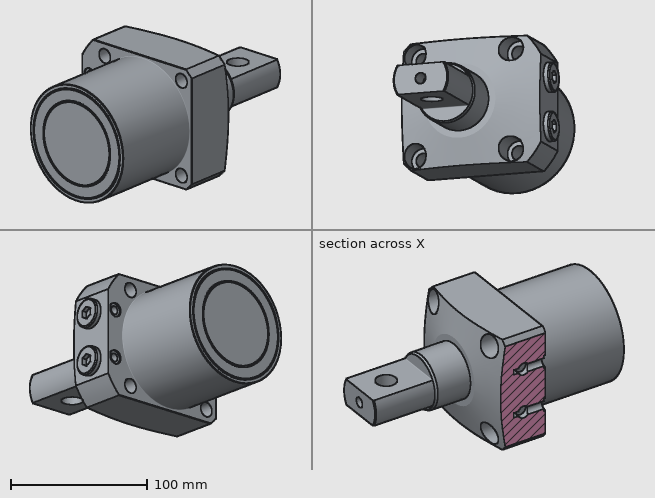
import cadquery as cq
import math

OVERALL_LENGTH = 203.0

FLANGE_BACK = 73.9
FLANGE_FRONT = 120.2
FLANGE_HALF = 47.5
PORT_FACE_X = -59.5
PORT_CORNER_RADIUS = 68.0
PLAIN_CORNER_CUT = 5.7
BACK_EDGE_CHAMFER = 0.5
CONE_FLAT_RADIUS = 27.8
CONE_ANGLE = 15.0
MOUNT_HOLE_DIAMETER = 11.2
MOUNT_HOLE_PITCH = 75.0
MOUNT_SEAT_DIAMETER = 18.0
MOUNT_LEDGE = 22.3

BARREL_DIAMETER = 90.7
BARREL_RADIUS = BARREL_DIAMETER / 2
BARREL_ROOT_FILLET = 0.5
BARREL_EDGE_CHAMFER = 0.5
CAP_RADIUS = 42.5
CAP_THICKNESS = 12.2
CAP_EDGE_CHAMFER = 1.0
CAP_GROOVE_RADIUS = 32.9
CAP_GROOVE_SIZE = 1.2

ROD_RADIUS = 22.5
ROD_SHOULDER_Y = 150.8
ROD_SHOULDER_BEVEL = 2.0
BLADE_RADIUS = 21.5
BLADE_THICKNESS = 22.0
BLADE_ROOT_FILLET = 0.6
BLADE_END_CHAMFER = 0.8
PIVOT_HOLE_DIAMETER = 16.2
PIVOT_HOLE_Y = 179.5
LOCK_HOLE_DIAMETER = 8.1

PLUG_Y = 93.0
PLUG_HEIGHTS = (-18.5, 18.5)
PLUG_HEAD_DIAMETER = 22.1
PLUG_HEAD_HEIGHT = 4.5
PLUG_HEAD_CHAMFER = 1.0
PLUG_SHANK_DIAMETER = 9.7
PLUG_SHANK_LENGTH = 2.5
PLUG_HEX_ACROSS_FLATS = 8.3
PLUG_HEX_DEPTH = 3.7
PLUG_BORE_DEPTH = 12.2
PASSAGE_X = -51.0
PASSAGE_DIAMETER = 4.5
PASSAGE_END_Y = 101.5

PORT_X = -52.4
PORT_DIAMETER = 6.3
PORT_SEAT_DIAMETER = 10.5
PORT_SEAT_DEPTH = 1.2


def cylinder_y(radius, start, end, x=0.0, z=0.0):
    """Solid cylinder along +Y between two Y positions."""
    base = cq.Workplane("XZ", origin=(x, start, z))
    return base.circle(radius).extrude(start - end)


def cylinder_x(diameter, start, length, z):
    """Solid cylinder along +X at the plug position."""
    base = cq.Workplane("YZ", origin=(start, PLUG_Y, z))
    return base.circle(diameter / 2).extrude(length)


def turned(points):
    """Solid of revolution about Y from (radius, Y) points."""
    return cq.Workplane("XY").polyline(points).close().revolve(360, (0, 0, 0), (0, 1, 0))


def make_flange():
    corner_z = math.sqrt(PORT_CORNER_RADIUS**2 - PORT_FACE_X**2)
    corner_x = -math.sqrt(PORT_CORNER_RADIUS**2 - FLANGE_HALF**2)
    middle_angle = (math.atan2(corner_z, -PORT_FACE_X) + math.atan2(FLANGE_HALF, -corner_x)) / 2
    middle_x = -PORT_CORNER_RADIUS * math.cos(middle_angle)
    middle_z = PORT_CORNER_RADIUS * math.sin(middle_angle)
    cut_start = FLANGE_HALF - PLAIN_CORNER_CUT
    flange = (
        cq.Workplane("XZ", origin=(0, FLANGE_BACK, 0))
        .moveTo(PORT_FACE_X, -corner_z)
        .lineTo(PORT_FACE_X, corner_z)
        .threePointArc((middle_x, middle_z), (corner_x, FLANGE_HALF))
        .lineTo(cut_start, FLANGE_HALF)
        .lineTo(FLANGE_HALF, cut_start)
        .lineTo(FLANGE_HALF, -cut_start)
        .lineTo(cut_start, -FLANGE_HALF)
        .lineTo(corner_x, -FLANGE_HALF)
        .threePointArc((middle_x, -middle_z), (PORT_FACE_X, -corner_z))
        .close()
        .extrude(FLANGE_BACK - FLANGE_FRONT)
    )
    back_edges = flange.faces("<Y").edges(">X or >Z or <Z")
    flange = back_edges.chamfer(BACK_EDGE_CHAMFER)

    cone_drop = (PORT_CORNER_RADIUS - CONE_FLAT_RADIUS) * math.tan(math.radians(CONE_ANGLE))
    envelope = turned([
        (0, FLANGE_BACK),
        (PORT_CORNER_RADIUS, FLANGE_BACK),
        (PORT_CORNER_RADIUS, FLANGE_FRONT - cone_drop),
        (CONE_FLAT_RADIUS, FLANGE_FRONT),
        (0, FLANGE_FRONT),
    ])
    return flange.intersect(envelope)


def make_mount_holes():
    """Four through holes with screw-head counterbores sunk from the conical front."""
    corners = cq.Workplane("XZ").rect(MOUNT_HOLE_PITCH, MOUNT_HOLE_PITCH, forConstruction=True).vertices()
    through = corners.circle(MOUNT_HOLE_DIAMETER / 2).extrude(-FLANGE_FRONT)
    seat_y = FLANGE_BACK + MOUNT_LEDGE
    seats = corners.circle(MOUNT_SEAT_DIAMETER / 2).extrude(seat_y - FLANGE_FRONT)
    return through.union(seats.translate((0, seat_y, 0)))


def make_oil_passages(z):
    """Plug bore, the seated port that opens into it, and the narrow passage leading onward."""
    bore = cylinder_x(PLUG_SHANK_DIAMETER, PORT_FACE_X, PLUG_BORE_DEPTH, z)
    passage = cylinder_y(PASSAGE_DIAMETER / 2, PLUG_Y, PASSAGE_END_Y, PASSAGE_X, z)
    port = cylinder_y(PORT_DIAMETER / 2, FLANGE_BACK, PLUG_Y, PORT_X, z)
    seat = cylinder_y(PORT_SEAT_DIAMETER / 2, FLANGE_BACK, FLANGE_BACK + PORT_SEAT_DEPTH, PORT_X, z)
    return bore.union(passage).union(port).union(seat)


def make_housing():
    barrel = cylinder_y(BARREL_RADIUS, 0, FLANGE_BACK).faces("<Y").chamfer(BARREL_EDGE_CHAMFER)
    housing = make_flange().union(barrel)
    barrel_root = housing.edges("%CIRCLE").edges(cq.NearestToPointSelector((0, FLANGE_BACK, 0)))
    housing = barrel_root.fillet(BARREL_ROOT_FILLET)
    housing = housing.cut(cylinder_y(CAP_RADIUS, 0, CAP_THICKNESS))
    housing = housing.cut(cylinder_y(ROD_RADIUS, FLANGE_BACK, FLANGE_FRONT))
    housing = housing.cut(make_mount_holes())
    for z in PLUG_HEIGHTS:
        housing = housing.cut(make_oil_passages(z))
    return housing


def make_end_cap():
    cap = cylinder_y(CAP_RADIUS, 0, CAP_THICKNESS).faces("<Y").chamfer(CAP_EDGE_CHAMFER)
    groove = turned([
        (CAP_GROOVE_RADIUS, 0),
        (CAP_GROOVE_RADIUS, CAP_GROOVE_SIZE),
        (CAP_GROOVE_RADIUS - CAP_GROOVE_SIZE, 0),
    ])
    return cap.cut(groove)


def make_rod():
    shaft = turned([
        (0, FLANGE_BACK),
        (ROD_RADIUS, FLANGE_BACK),
        (ROD_RADIUS, ROD_SHOULDER_Y - ROD_SHOULDER_BEVEL),
        (BLADE_RADIUS, ROD_SHOULDER_Y),
        (BLADE_RADIUS, OVERALL_LENGTH - BLADE_END_CHAMFER),
        (BLADE_RADIUS - BLADE_END_CHAMFER, OVERALL_LENGTH),
        (0, OVERALL_LENGTH),
    ])
    flat_length = OVERALL_LENGTH - ROD_SHOULDER_Y
    for side in (-1, 1):
        flat_cut = (
            cq.Workplane("XY")
            .box(2 * ROD_RADIUS, flat_length, ROD_RADIUS, centered=(True, False, True))
            .translate((0, ROD_SHOULDER_Y, side * (BLADE_THICKNESS + ROD_RADIUS) / 2))
        )
        inner_face = "<Z" if side > 0 else ">Z"
        flat_cut = flat_cut.faces("<Y").edges(inner_face).fillet(BLADE_ROOT_FILLET)
        shaft = shaft.cut(flat_cut)
    pivot_hole = (
        cq.Workplane("XY", origin=(0, PIVOT_HOLE_Y, 0))
        .circle(PIVOT_HOLE_DIAMETER / 2)
        .extrude(BLADE_THICKNESS, both=True)
    )
    lock_hole = cylinder_y(LOCK_HOLE_DIAMETER / 2, PIVOT_HOLE_Y, OVERALL_LENGTH)
    return shaft.cut(pivot_hole).cut(lock_hole)


def make_plug(z):
    head_x = PORT_FACE_X - PLUG_HEAD_HEIGHT
    head = cylinder_x(PLUG_HEAD_DIAMETER, head_x, PLUG_HEAD_HEIGHT, z)
    head = head.faces("<X").chamfer(PLUG_HEAD_CHAMFER)
    shank = cylinder_x(PLUG_SHANK_DIAMETER, PORT_FACE_X, PLUG_SHANK_LENGTH, z)
    across_corners = PLUG_HEX_ACROSS_FLATS / math.cos(math.pi / 6)
    socket = (
        cq.Workplane("YZ", origin=(head_x, PLUG_Y, z))
        .transformed(rotate=(0, 0, 90))
        .polygon(6, across_corners)
        .extrude(PLUG_HEX_DEPTH)
    )
    return head.union(shank).cut(socket)


housing = make_housing()
end_cap = make_end_cap()
rod = make_rod()
plugs = [make_plug(z) for z in PLUG_HEIGHTS]

result = cq.Compound.makeCompound([
    housing.val(),
    end_cap.val(),
    rod.val(),
    *[plug.val() for plug in plugs],
])